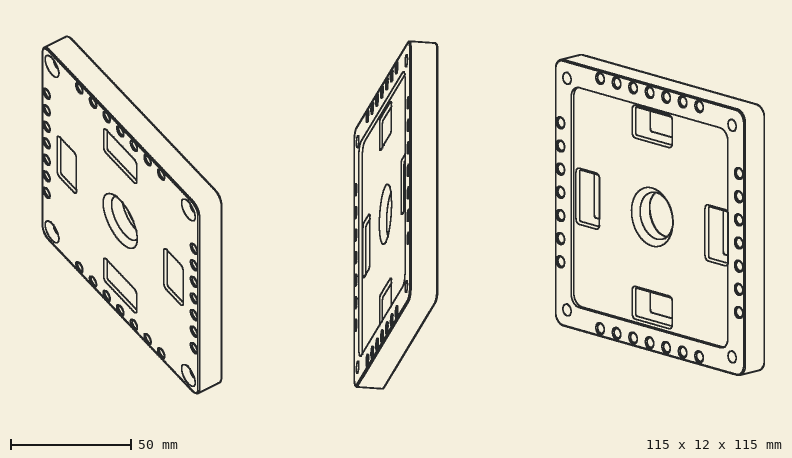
import cadquery as cq

plate_side = 115.0
plate_thickness = 12.0
plate_corner_radius = 5.0
plate_edge_chamfer = 0.5

recess_side = 95.0
recess_depth = 1.5
recess_corner_radius = 5.0

center_hole_diameter = 20.0
center_hole_chamfer = 2.5

screw_hole_spacing = 100.0
screw_hole_diameter = 5.0
screw_head_diameter = 10.0

row_hole_count = 7
row_hole_pitch = 10.0
row_hole_diameter = 4.0
row_hole_chamfer = 0.5
row_edge_distance = 3.5

window_length = 22.2
window_width = 12.1
window_corner_radius = 1.0
window_chamfer = 1.0
window_center_distance = 39.1

front_y = -plate_thickness / 2
back_y = plate_thickness / 2
screw_offset = screw_hole_spacing / 2
screw_chamfer = (screw_head_diameter - screw_hole_diameter) / 2
row_center_distance = plate_side / 2 - row_edge_distance


def make_rounded_block(length, depth, width, corner_radius):
    """Centered block with its four edges along Y rounded."""
    return cq.Workplane("XY").box(length, depth, width).edges("|Y").fillet(corner_radius)


def make_plate():
    """Rounded square plate, centered on the origin, chamfered around both faces."""
    plate = make_rounded_block(plate_side, plate_thickness, plate_side, plate_corner_radius)
    return plate.faces("<Y or >Y").edges().chamfer(plate_edge_chamfer)


def make_recess_cutter():
    """Shallow square pocket open at the back face."""
    pocket = make_rounded_block(recess_side, recess_depth, recess_side, recess_corner_radius)
    return pocket.translate((0, back_y - recess_depth / 2, 0))


def make_hole_cutter(diameter, chamfer):
    """Through hole along Y on the origin, with a 45 degree cone at the front face."""
    radius = diameter / 2
    half_profile = [
        (front_y, 0),
        (front_y, -radius - chamfer),
        (front_y + chamfer, -radius),
        (back_y, -radius),
        (back_y, 0),
    ]
    return cq.Workplane("YZ").polyline(half_profile).close().revolve(360, (0, 0), (1, 0))


def make_window_cutter():
    """Rectangular through opening on the origin, with its front rim chamfered."""
    opening = make_rounded_block(window_length, plate_thickness, window_width, window_corner_radius)
    rim = make_rounded_block(
        window_length + 2 * window_chamfer,
        2 * window_chamfer,
        window_width + 2 * window_chamfer,
        window_corner_radius + window_chamfer,
    )
    rim = rim.faces(">Y").edges().chamfer(window_chamfer).translate((0, front_y, 0))
    return opening.union(rim)


def chamfer_both_ends(cutter, back_depth=0.0):
    """Repeat the cutter's front chamfer at a back surface lying back_depth inside the back face."""
    return cutter.union(cutter.mirror("XZ").translate((0, -back_depth, 0)))


def cut_at(plate, cutter, centers):
    """Cut the same shape at each (x, z) center."""
    for x, z in centers:
        plate = plate.cut(cutter.translate((x, 0, z)))
    return plate


center_cutter = chamfer_both_ends(make_hole_cutter(center_hole_diameter, center_hole_chamfer), recess_depth)
result = make_plate().cut(make_recess_cutter()).cut(center_cutter)

screw_cutter = make_hole_cutter(screw_hole_diameter, screw_chamfer)
screw_centers = [(x, z) for x in (-screw_offset, screw_offset) for z in (-screw_offset, screw_offset)]
result = cut_at(result, screw_cutter, screw_centers)

level_window = chamfer_both_ends(make_window_cutter(), recess_depth)
upright_window = level_window.rotate((0, 0, 0), (0, 1, 0), 90)
for distance in (-window_center_distance, window_center_distance):
    result = cut_at(result, level_window, [(0, distance)])
    result = cut_at(result, upright_window, [(distance, 0)])

row_cutter = chamfer_both_ends(make_hole_cutter(row_hole_diameter, row_hole_chamfer))
row_positions = [(index - (row_hole_count - 1) / 2) * row_hole_pitch for index in range(row_hole_count)]
for distance in (-row_center_distance, row_center_distance):
    result = cut_at(result, row_cutter, [(position, distance) for position in row_positions])
    result = cut_at(result, row_cutter, [(distance, position) for position in row_positions])